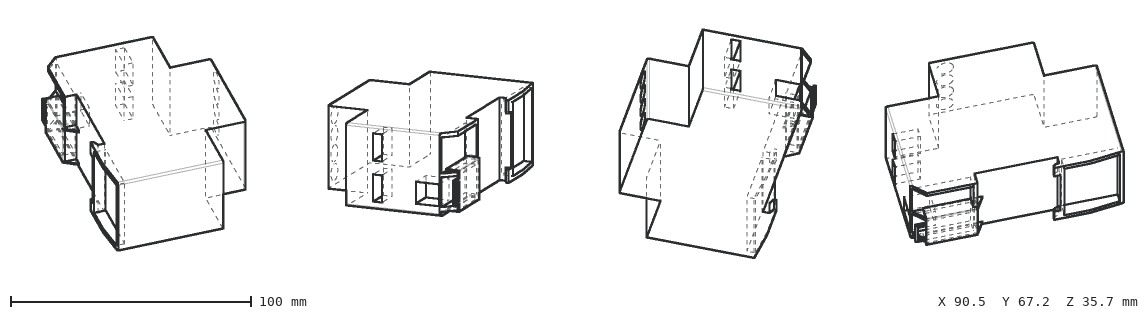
import cadquery as cq
import math


length = 90.55
width = 35.7
step_y = 48.0
face_y = 65.8
face_x0 = 22.7
face_x1 = 67.9
edge_radius = 0.9

rail_floor_y = 5.2
rail_x0 = 27.4
rail_x1 = 62.9
foot_bevel = 5.8
hook_x = 60.3
hook_tip_y = 1.2
hook_root_y = 2.4
hook_z_width = 5.8
slope_x = 75.8
slope_rise = 1.7
rim = 1.9

bay_x1 = 25.6
top_gap_z = 19.7
upper_rib_z0 = 16.6
upper_rib_z1 = 18.2
lower_rib_z0 = 1.7
lower_rib_z1 = 3.8

foot_pocket_x0 = 64.65
foot_pocket_x1 = 88.7

opening_depth = 10.9
terminal_y0 = 31.9
terminal_y1 = 35.8
terminal_length = 11.7
terminal_margin = 3.2
socket_y0 = 6.2
socket_y1 = 16.6
socket_z0 = 4.3
socket_z1 = 13.7

plate_thickness = 0.8
latch_x0 = 5.3
latch_x1 = 27.1
latch_tip_x = 30.9
latch_z0 = 1.2
latch_z1 = 19.0
latch_edge_radius = 0.3
tab_x0 = 0.6
tab_z0 = 4.6
tab_z1 = 15.7
tab_corner_radius = 0.5
window_x0 = 1.8
window_z0 = 5.8
window_z1 = 14.2

button_count = 4
button_pitch = 8.15
button_radius = 3.6
button_height = 0.6
button_x = 29.9
button_mid_z = 17.6


def box(x0, x1, y0, y1, z0, z1):
    """Box between two opposite corners."""
    return cq.Workplane("XY").box(x1 - x0, y1 - y0, z1 - z0, centered=False).translate((x0, y0, z0))


def housing_block():
    """Stepped block with the rail recess, foot bevel and sloped right foot."""
    outline = [
        (0, foot_bevel),
        (foot_bevel, 0),
        (rail_x0, 0),
        (rail_x0, rail_floor_y),
        (rail_x1, rail_floor_y),
        (rail_x1, hook_root_y),
        (hook_x, hook_tip_y),
        (hook_x, 0),
        (slope_x, 0),
        (length, slope_rise),
        (length, step_y),
        (face_x1, step_y),
        (face_x1, face_y),
        (face_x0, face_y),
        (face_x0, step_y),
        (0, step_y),
    ]
    block = cq.Workplane("XY").polyline(outline).close().extrude(width)
    block = block.faces("<X or >X").edges("|Y").fillet(edge_radius)
    return block.faces(">Y").edges("|Z").fillet(edge_radius)


def latch_bay():
    """Space cut out of the left foot, leaving a top wall, two ribs and the end wall."""
    floor = rail_floor_y
    upper = box(0, bay_x1, 0, floor, upper_rib_z1, width - rim)
    slot = box(0, rail_x0, 0, floor, upper_rib_z1, top_gap_z)
    middle = box(0, bay_x1, 0, floor, lower_rib_z1, upper_rib_z0)
    bottom = box(0, rail_x0, 0, floor, 0, lower_rib_z0)
    return upper.union(slot).union(middle).union(bottom)


def right_foot_cuts():
    """Pocket in the right foot and the gap between its two hooks."""
    pocket = box(foot_pocket_x0, foot_pocket_x1, 0, rail_floor_y, rim, width - rim)
    gap = box(hook_x, rail_x1, 0, rail_floor_y, hook_z_width, width - hook_z_width)
    return pocket.union(gap)


def side_openings():
    """Two terminal openings and the square socket in the -X side."""
    openings = box(0, opening_depth, socket_y0, socket_y1, socket_z0, socket_z1)
    low_z = terminal_margin
    high_z = width - terminal_margin - terminal_length
    for z in (low_z, high_z):
        openings = openings.union(box(0, opening_depth, terminal_y0, terminal_y1, z, z + terminal_length))
    return openings


def make_housing():
    """Housing with all its cuts."""
    return housing_block().cut(latch_bay()).cut(right_foot_cuts()).cut(side_openings())


def make_latch():
    """U-shaped latch: plate, two wedge-ended side walls and a windowed pull tab."""
    profile = [
        (latch_x0, -plate_thickness),
        (latch_x1, -plate_thickness),
        (latch_tip_x, rail_floor_y),
        (latch_x0, rail_floor_y),
    ]
    body = cq.Workplane("XY").polyline(profile).close().extrude(latch_z1 - latch_z0)
    body = body.translate((0, 0, latch_z0))
    body = body.faces("<Y").edges("not <X").fillet(latch_edge_radius)
    inside = box(latch_x0, latch_tip_x, 0, rail_floor_y, lower_rib_z0, upper_rib_z1)
    tab = box(tab_x0, latch_x0, -plate_thickness, 0, tab_z0, tab_z1)
    tab = tab.faces("<X").edges("|Y").fillet(tab_corner_radius)
    window = box(window_x0, latch_x0, -plate_thickness, 0, window_z0, window_z1)
    return body.cut(inside).union(tab.cut(window))


def make_button(z):
    """Shallow spherical dome standing on the display face."""
    sphere_radius = (button_radius**2 + button_height**2) / (2 * button_height)
    arc_mid_x = button_radius / 2
    arc_mid_y = button_height - sphere_radius + math.sqrt(sphere_radius**2 - arc_mid_x**2)
    half_section = (
        cq.Workplane("XY")
        .lineTo(button_radius, 0)
        .threePointArc((arc_mid_x, arc_mid_y), (0, button_height))
        .close()
    )
    dome = half_section.revolve(360, (0, 0), (0, 1))
    return dome.translate((button_x, face_y, z))


housing = make_housing()
latch = make_latch()
buttons = []
for index in range(button_count):
    offset = (index - (button_count - 1) / 2) * button_pitch
    buttons.append(make_button(button_mid_z + offset).val())

result = cq.Compound.makeCompound([housing.val(), latch.val(), *buttons])